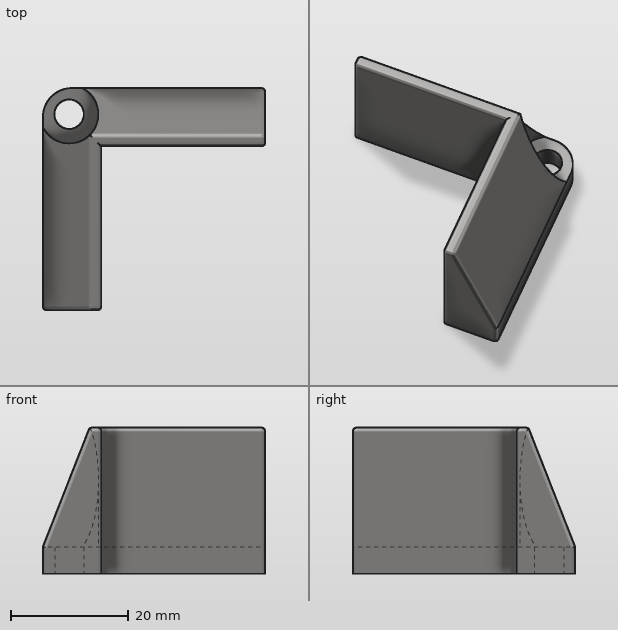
import cadquery as cq

LENGTH = 38.0
HEIGHT = 25.0
ARM_WIDTH = 10.0
TOP_WIDTH = 2.0
BASE_HEIGHT = 4.6
EDGE_RADIUS = 0.7
CORNER_RADIUS = 5.0

HOLE_DIAMETER = 5.0
HOLE_OFFSET = 4.5
CLEARANCE_DIAMETER = 10.0

TOLERANCE = 0.01


def l_profile(inset):
    """Corner points of the L-shaped plan, with its outer sides moved inward by the inset."""
    return [
        (inset, -inset),
        (LENGTH, -inset),
        (LENGTH, -ARM_WIDTH),
        (ARM_WIDTH, -ARM_WIDTH),
        (ARM_WIDTH, -LENGTH),
        (inset, -LENGTH),
    ]


def make_sharp_bracket():
    """Upright foot carrying two walls with sloping outer faces, all edges sharp."""
    foot = cq.Workplane("XY").polyline(l_profile(0)).close().extrude(BASE_HEIGHT)
    walls = (
        cq.Workplane("XY", origin=(0, 0, BASE_HEIGHT))
        .polyline(l_profile(0))
        .close()
        .workplane(offset=HEIGHT - BASE_HEIGHT)
        .polyline(l_profile(ARM_WIDTH - TOP_WIDTH))
        .close()
        .loft(ruled=True, combine=True)
    )
    return foot.union(walls)


def is_rounded_edge(edge):
    """True for the top rim and for the rising edges of the two arm ends."""
    box = edge.BoundingBox()
    on_top = box.zmin > HEIGHT - TOLERANCE
    on_arm_end = box.xmin > LENGTH - TOLERANCE or box.ymax < -LENGTH + TOLERANCE
    rises = box.zlen > TOLERANCE
    return on_top or (on_arm_end and rises)


def round_edges(body):
    rounded = [edge for edge in body.edges().vals() if is_rounded_edge(edge)]
    return body.newObject(rounded).fillet(EDGE_RADIUS)


def corner_waste():
    """Material outside the quarter-round of the outer corner, over the full height."""
    block = cq.Workplane("XY").rect(CORNER_RADIUS, -CORNER_RADIUS, centered=False).extrude(HEIGHT)
    disc = cq.Workplane("XY").center(CORNER_RADIUS, -CORNER_RADIUS).circle(CORNER_RADIUS).extrude(HEIGHT)
    return block.cut(disc)


def corner_cylinder(diameter, bottom):
    """Vertical cylinder on the screw axis, from the given height up to the top."""
    return (
        cq.Workplane("XY", origin=(HOLE_OFFSET, -HOLE_OFFSET, bottom))
        .circle(diameter / 2)
        .extrude(HEIGHT - bottom)
    )


result = round_edges(make_sharp_bracket())
result = result.cut(corner_cylinder(CLEARANCE_DIAMETER, BASE_HEIGHT))
result = result.cut(corner_waste())
result = result.cut(corner_cylinder(HOLE_DIAMETER, 0))